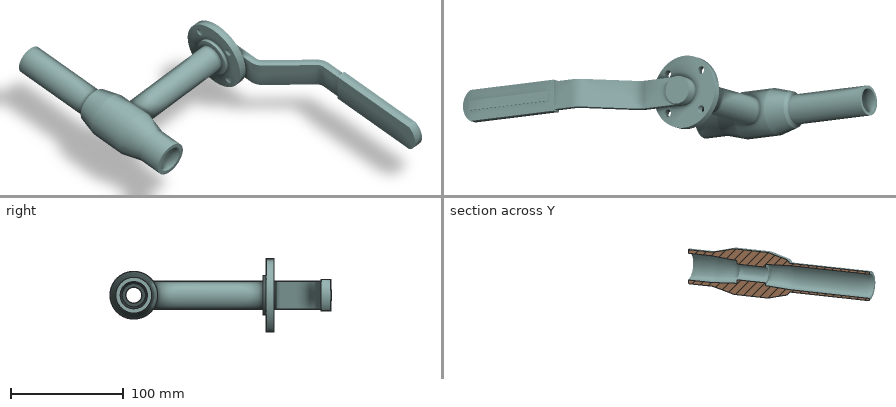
import cadquery as cq
import math


shell_diameter = 42.4
shell_half_length = 16.5
inlet_diameter = 26.9
inlet_end_x = -114.0
inlet_collar_x = -37.3
inlet_shoulder_x = -34.5
inlet_shoulder_diameter = 33.0
outlet_diameter = 31.8
outlet_shoulder_x = 37.0
outlet_end_x = 60.5

ball_bore_diameter = 14.0
inlet_bore_diameter = 21.7
inlet_seat_diameter = 19.2
outlet_bore_diameter = 24.12
outlet_seat_diameter = 20.6
seat_x = 14.0

neck_diameter = 25.0
flange_diameter = 65.0
flange_thickness = 7.0
flange_top_y = 124.4
spigot_diameter = 35.0
spigot_height = 3.0
bolt_hole_diameter = 7.0
bolt_circle_diameter = 50.0
bolt_hole_count = 4
first_bolt_angle = 45.0

hub_diameter = 25.0
hub_height = 11.3
blade_top_fillet = 2.2
blade_width = hub_diameter
blade_thickness = 6.7
blade_clearance = 1.7
blade_base_y = flange_top_y + blade_clearance
crank_start_x = 41.7
crank_rise = 41.0
crank_angle = 45.0
bend_inner_radius = 8.0

grip_start_x = 105.7
grip_end_x = 202.0
grip_width = 28.0
grip_thickness = 8.6
grip_end_radius = 16.5

pad_start_x = 111.5
pad_end_x = 195.0
pad_width = 9.0
pad_height = 0.65


def cylinder_y(diameter, base_y, height):
    """Cylinder on the stem axis, growing from base_y towards +Y."""
    plane = cq.Plane(origin=(0, base_y, 0), xDir=(1, 0, 0), normal=(0, 1, 0))
    return cq.Workplane(plane).circle(diameter / 2).extrude(height)


def make_shell():
    """Barrel with its inlet and outlet pipes, turned about X."""
    return (
        cq.Workplane("XY")
        .moveTo(inlet_end_x, 0)
        .lineTo(inlet_end_x, inlet_diameter / 2)
        .lineTo(inlet_collar_x, inlet_diameter / 2)
        .lineTo(inlet_shoulder_x, inlet_shoulder_diameter / 2)
        .lineTo(-shell_half_length, shell_diameter / 2)
        .lineTo(shell_half_length, shell_diameter / 2)
        .lineTo(outlet_shoulder_x, outlet_diameter / 2)
        .lineTo(outlet_end_x, outlet_diameter / 2)
        .lineTo(outlet_end_x, 0)
        .close()
        .revolve(360, (0, 0, 0), (1, 0, 0))
    )


def make_flow_passage():
    """Straight pipe bores tapering to the seats, joined by the ball bore."""
    return (
        cq.Workplane("XY")
        .moveTo(inlet_end_x, 0)
        .lineTo(inlet_end_x, inlet_bore_diameter / 2)
        .lineTo(inlet_collar_x, inlet_bore_diameter / 2)
        .lineTo(-seat_x, inlet_seat_diameter / 2)
        .lineTo(-seat_x, ball_bore_diameter / 2)
        .lineTo(seat_x, ball_bore_diameter / 2)
        .lineTo(seat_x, outlet_seat_diameter / 2)
        .lineTo(outlet_shoulder_x, outlet_bore_diameter / 2)
        .lineTo(outlet_end_x, outlet_bore_diameter / 2)
        .lineTo(outlet_end_x, 0)
        .close()
        .revolve(360, (0, 0, 0), (1, 0, 0))
    )


def make_flange():
    """Round mounting flange with its spigot below and a ring of bolt holes."""
    flange_base_y = flange_top_y - flange_thickness
    flange = cylinder_y(flange_diameter, flange_base_y, flange_thickness)
    spigot = cylinder_y(spigot_diameter, flange_base_y - spigot_height, spigot_height)
    bolt_hole = cylinder_y(bolt_hole_diameter, flange_base_y, flange_thickness)
    for index in range(bolt_hole_count):
        angle = math.radians(first_bolt_angle + index * 360 / bolt_hole_count)
        offset_x = bolt_circle_diameter / 2 * math.cos(angle)
        offset_z = bolt_circle_diameter / 2 * math.sin(angle)
        flange = flange.cut(bolt_hole.translate((offset_x, 0, offset_z)))
    return flange.union(spigot)


def make_valve():
    neck = cylinder_y(neck_diameter, 0, flange_top_y)
    return make_shell().union(neck).cut(make_flow_passage()).union(make_flange())


def make_blade():
    """Cranked flat strip of constant thickness, with both bends rounded."""
    angle = math.radians(crank_angle)
    bend_outer_radius = bend_inner_radius + blade_thickness
    top_shift = blade_thickness * math.tan(angle / 2)
    crank_end_x = crank_start_x + crank_rise / math.tan(angle)
    low_top_y = blade_base_y + blade_thickness
    high_base_y = blade_base_y + crank_rise
    high_top_y = high_base_y + blade_thickness
    low_base_bend = (crank_start_x + top_shift / 2, blade_base_y)
    high_base_bend = (crank_end_x + top_shift / 2, high_base_y)
    high_top_bend = (crank_end_x - top_shift / 2, high_top_y)
    low_top_bend = (crank_start_x - top_shift / 2, low_top_y)
    strip = (
        cq.Workplane("XY")
        .workplane(offset=-blade_width / 2)
        .moveTo(0, blade_base_y)
        .lineTo(*low_base_bend)
        .lineTo(*high_base_bend)
        .lineTo(grip_start_x, high_base_y)
        .lineTo(grip_start_x, high_top_y)
        .lineTo(*high_top_bend)
        .lineTo(*low_top_bend)
        .lineTo(0, low_top_y)
        .close()
        .extrude(blade_width)
    )

    def round_bend(solid, bend, radius):
        return solid.edges(cq.selectors.NearestToPointSelector((*bend, 0))).fillet(radius)

    strip = round_bend(strip, low_base_bend, bend_outer_radius)
    strip = round_bend(strip, high_top_bend, bend_outer_radius)
    strip = round_bend(strip, low_top_bend, bend_inner_radius)
    return round_bend(strip, high_base_bend, bend_inner_radius)


def make_hub_flare():
    """Concave fillets from the hub onto both faces of the blade, trimmed to the blade's width."""
    hub_radius = hub_diameter / 2
    blade_top_y = blade_base_y + blade_thickness
    blade_base_fillet = blade_clearance
    arc_middle = math.sqrt(0.5)
    flare = (
        cq.Workplane("XY")
        .moveTo(0, flange_top_y)
        .lineTo(hub_radius, flange_top_y)
        .threePointArc(
            (
                hub_radius + blade_base_fillet * (1 - arc_middle),
                flange_top_y + blade_base_fillet * arc_middle,
            ),
            (hub_radius + blade_base_fillet, blade_base_y),
        )
        .lineTo(hub_radius + blade_top_fillet, blade_top_y)
        .threePointArc(
            (
                hub_radius + blade_top_fillet * (1 - arc_middle),
                blade_top_y + blade_top_fillet * (1 - arc_middle),
            ),
            (hub_radius, blade_top_y + blade_top_fillet),
        )
        .lineTo(0, blade_top_y + blade_top_fillet)
        .close()
        .revolve(360, (0, 0, 0), (0, 1, 0))
    )
    flare_reach = hub_diameter
    blade_envelope = (
        cq.Workplane("XY")
        .workplane(offset=-blade_width / 2)
        .moveTo(0, flange_top_y)
        .lineTo(flare_reach, flange_top_y)
        .lineTo(flare_reach, flange_top_y + hub_height)
        .lineTo(0, flange_top_y + hub_height)
        .close()
        .extrude(blade_width)
    )
    return flare.intersect(blade_envelope)


def make_grip():
    """Flat grip with an arched free end and a low raised pad on its outer face."""
    blade_mid_y = blade_base_y + crank_rise + blade_thickness / 2
    base_y = blade_mid_y - grip_thickness / 2
    half_width = grip_width / 2
    arch_depth = grip_end_radius - math.sqrt(grip_end_radius**2 - half_width**2)
    arch_start_x = grip_end_x - arch_depth
    plane = cq.Plane(origin=(0, base_y, 0), xDir=(1, 0, 0), normal=(0, 1, 0))
    grip = (
        cq.Workplane(plane)
        .moveTo(grip_start_x, -half_width)
        .lineTo(arch_start_x, -half_width)
        .threePointArc((grip_end_x, 0), (arch_start_x, half_width))
        .lineTo(grip_start_x, half_width)
        .close()
        .extrude(grip_thickness)
    )
    pad = (
        cq.Workplane(plane)
        .workplane(offset=grip_thickness)
        .center((pad_start_x + pad_end_x) / 2, 0)
        .rect(pad_end_x - pad_start_x, pad_width)
        .extrude(pad_height)
    )
    return grip.union(pad)


def make_lever():
    hub = cylinder_y(hub_diameter, flange_top_y, hub_height)
    return hub.union(make_blade()).union(make_hub_flare()).union(make_grip())


valve = make_valve()
lever = make_lever()
result = cq.Compound.makeCompound([valve.val(), lever.val()])